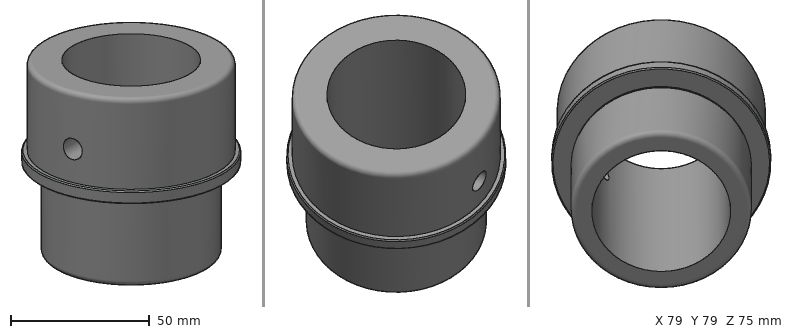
import cadquery as cq

total_height = 75.0
flange_bottom = 35.0
flange_top = 40.0

flange_diameter = 79.0
head_diameter = 75.0
spigot_diameter = 65.0
bore_diameter = 50.0

rim_fillet = 2.0
flange_chamfer = 0.5

relief_height = 1.9
relief_depth = 0.7
relief_mid_height = 0.55
relief_mid_depth = 0.5

hole_diameter = 8.2
hole_level = 53.0


def cylinder(diameter, bottom, top):
    """Cylinder about Z between two levels."""
    return cq.Workplane("XY").workplane(offset=bottom).circle(diameter / 2).extrude(top - bottom)


head = cylinder(head_diameter, flange_top, total_height).faces(">Z").edges().fillet(rim_fillet)
flange = cylinder(flange_diameter, flange_bottom, flange_top).edges("%CIRCLE").chamfer(flange_chamfer)
spigot = cylinder(spigot_diameter, 0, flange_bottom).faces("<Z").edges().fillet(rim_fillet)

spigot_radius = spigot_diameter / 2
relief_bottom = flange_bottom - relief_height
relief = (
    cq.Workplane("XZ")
    .moveTo(spigot_radius, relief_bottom)
    .threePointArc(
        (spigot_radius - relief_mid_depth, relief_bottom + relief_mid_height),
        (spigot_radius - relief_depth, flange_bottom),
    )
    .lineTo(spigot_radius, flange_bottom)
    .close()
    .revolve(360, (0, 0, 0), (0, 1, 0))
)

body = head.union(flange).union(spigot.cut(relief))

bore = cylinder(bore_diameter, 0, total_height)

radial_hole = (
    cq.Workplane("XZ")
    .center(0, hole_level)
    .circle(hole_diameter / 2)
    .extrude(flange_diameter / 2)
)

result = body.cut(bore).cut(radial_hole)